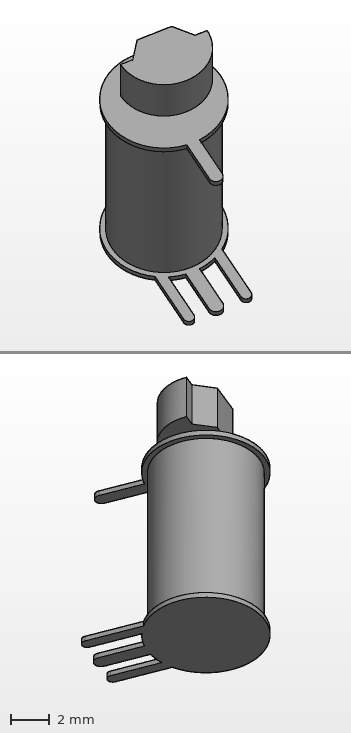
import cadquery as cq

can_radius = 3.0
can_length = 10.0
plate_radius = 3.3
plate_thickness = 0.3

side_leg_width = 0.6
side_leg_reach = 6.2
upper_side_leg_y = 1.7
lower_side_leg_y = -1.6
bottom_middle_leg_width = 0.8
bottom_middle_leg_reach = 6.27
bottom_middle_leg_y = -0.02
top_leg_width = 0.74
top_leg_reach = 6.2
top_leg_y = 0.0

shaft_radius = 0.81
shaft_exposed_length = 1.6
weight_radius = 2.5
weight_height = 2.5
weight_hub_reach = 1.08
weight_hub_face_half_width = 1.0
weight_hub_root_half_width = 1.8

top_plate_base = plate_thickness + can_length
motor_top = top_plate_base + plate_thickness
weight_base = motor_top + shaft_exposed_length


def make_leg(width, reach, y, base):
    """Flat strip from the plate axis to a full-round tip at x = reach."""
    half_width = width / 2
    straight_end = reach - half_width
    return (
        cq.Workplane("XY", origin=(0, y, base))
        .moveTo(0, -half_width)
        .lineTo(straight_end, -half_width)
        .threePointArc((reach, 0), (straight_end, half_width))
        .lineTo(0, half_width)
        .close()
        .extrude(plate_thickness)
    )


def make_disc(radius, height, base):
    """Round cylinder on the Z axis, standing on the height given as base."""
    return cq.Workplane("XY", origin=(0, 0, base)).circle(radius).extrude(height)


def make_motor():
    """Can, both end plates and their legs as one solid."""
    bottom_plate = make_disc(plate_radius, plate_thickness, 0)
    for side_leg_y in (upper_side_leg_y, lower_side_leg_y):
        bottom_plate = bottom_plate.union(make_leg(side_leg_width, side_leg_reach, side_leg_y, 0))
    bottom_plate = bottom_plate.union(
        make_leg(bottom_middle_leg_width, bottom_middle_leg_reach, bottom_middle_leg_y, 0)
    )

    top_plate = make_disc(plate_radius, plate_thickness, top_plate_base)
    top_plate = top_plate.union(make_leg(top_leg_width, top_leg_reach, top_leg_y, top_plate_base))

    can = make_disc(can_radius, can_length, plate_thickness)
    return can.union(bottom_plate).union(top_plate)


def make_rotor():
    """Shaft standing on the top plate, with a half-round weight and its tapered hub."""
    shaft = make_disc(shaft_radius, shaft_exposed_length, motor_top)
    weight = (
        cq.Workplane("XY", origin=(0, 0, weight_base))
        .moveTo(0, -weight_radius)
        .threePointArc((weight_radius, 0), (0, weight_radius))
        .lineTo(0, weight_hub_root_half_width)
        .lineTo(-weight_hub_reach, weight_hub_face_half_width)
        .lineTo(-weight_hub_reach, -weight_hub_face_half_width)
        .lineTo(0, -weight_hub_root_half_width)
        .close()
        .extrude(weight_height)
    )
    return shaft.union(weight)


motor = make_motor()
rotor = make_rotor()

result = cq.Compound.makeCompound([motor.val(), rotor.val()])